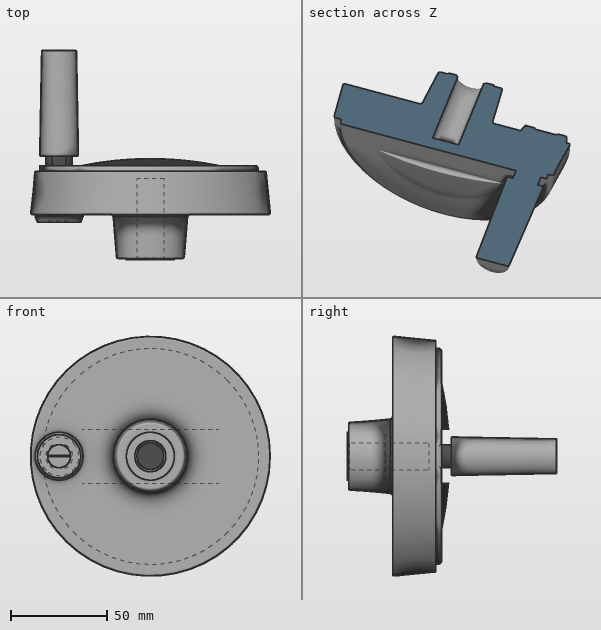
import cadquery as cq
import math

wheel_radius = 62.5
wheel_back_radius = 60.2
wheel_thickness = 22.6
wheel_front_round = 1.1
wheel_back_round = 0.9

step_radius = 56.2
step_height = 3.0
step_round = 2.1
step_face = wheel_thickness + step_height

dome_radius = 38.0
dome_height = 4.1
channel_width = 27.9

hub_length = 22.8
hub_base_radius = 19.5
hub_end_radius = 17.6
hub_base_fillet = 1.1
hub_end_round = 1.1
collar_radius = 12.5
collar_height = 0.7
bore_radius = 7.0
bore_mouth_radius = 8.1
bore_end_wall = 3.7
bore_chamfer = bore_mouth_radius - bore_radius

handle_x = -47.5
handle_start = 30.4
handle_length = 55.0
handle_base_radius = 10.1
handle_end_radius = 9.1
handle_base_round = 1.0
handle_end_round = 0.7
neck_diameter = 14.0
neck_flats = 12.0
neck_foot_height = 1.0
neck_foot_inset = 0.1
pad_radius = 10.0

cap_height = 4.0
cap_rim_height = 0.9
cap_radius = 12.5
cap_end_radius = 11.2
screw_diameter = 12.0
screw_slot_width = 0.7
screw_slot_depth = 0.7
screw_recess = 0.1


def cone(start, length, start_radius, end_radius, x=0.0):
    """Solid of revolution along Y; a negative length runs toward -Y."""
    profile = [
        (x, start),
        (x + start_radius, start),
        (x + end_radius, start + length),
        (x, start + length),
    ]
    return cq.Workplane("XY").polyline(profile).close().revolve(360, (x, 0), (x, 1))


def cylinder(start, length, radius, x=0.0):
    return cone(start, length, radius, radius, x)


def make_wheel():
    disc = cone(0, wheel_thickness, wheel_radius, wheel_back_radius)
    disc = disc.faces("<Y").edges().fillet(wheel_front_round)
    disc = disc.faces(">Y").edges().fillet(wheel_back_round)
    step = cylinder(wheel_thickness, step_height, step_radius)
    step = step.faces(">Y").edges().fillet(step_round)
    return disc.union(step)


def make_dome():
    """Spherical cap minus the channel that separates its two halves."""
    sphere_radius = (dome_radius**2 + dome_height**2) / (2 * dome_height)
    half_angle = math.asin(dome_radius / sphere_radius) / 2
    arc_middle = (
        sphere_radius * math.sin(half_angle),
        step_face + dome_height - sphere_radius * (1 - math.cos(half_angle)),
    )
    dome = (
        cq.Workplane("XY")
        .moveTo(0, step_face)
        .lineTo(dome_radius, step_face)
        .threePointArc(arc_middle, (0, step_face + dome_height))
        .close()
        .revolve(360, (0, 0), (0, 1))
    )
    channel = cq.Workplane("XY").box(2 * dome_radius, dome_height, channel_width)
    return dome.cut(channel.translate((0, step_face + dome_height / 2, 0)))


def make_hub():
    hub = cone(0, -hub_length, hub_base_radius, hub_end_radius)
    hub = hub.faces("<Y").edges().fillet(hub_end_round)
    root = (
        cq.Workplane("XY")
        .lineTo(hub_base_radius + hub_base_fillet, 0)
        .radiusArc((hub_base_radius, -hub_base_fillet), -hub_base_fillet)
        .lineTo(0, -hub_base_fillet)
        .close()
        .revolve(360, (0, 0), (0, 1))
    )
    return hub.union(root).union(cylinder(-hub_length, -collar_height, collar_radius))


def make_bore():
    """Blind bore with a chamfered mouth, stopping inside the wheel."""
    mouth = -hub_length - collar_height
    bore = cylinder(mouth, wheel_thickness - bore_end_wall - mouth, bore_radius)
    return bore.union(cone(mouth, bore_chamfer, bore_mouth_radius, bore_radius))


def make_handle():
    grip = cone(handle_start, handle_length, handle_base_radius, handle_end_radius, handle_x)
    grip = grip.faces("<Y").edges().fillet(handle_base_round)
    grip = grip.faces(">Y").edges().fillet(handle_end_round)
    pad = cylinder(wheel_thickness, step_height, pad_radius, handle_x)
    neck_radius = neck_diameter / 2
    neck_length = handle_start - step_face
    foot = cone(step_face, neck_foot_height, neck_radius - neck_foot_inset, neck_radius, handle_x)
    shank = cylinder(step_face + neck_foot_height, neck_length - neck_foot_height, neck_radius, handle_x)
    flats = cq.Workplane("XY").box(neck_diameter, neck_length, neck_flats)
    flats = flats.translate((handle_x, step_face + neck_length / 2, 0))
    neck = foot.union(shank).intersect(flats)
    return pad.union(neck).union(grip)


def make_cap():
    rim = cylinder(0, -cap_rim_height, cap_radius, handle_x)
    taper_height = cap_height - cap_rim_height
    taper = cone(-cap_rim_height, -taper_height, cap_radius, cap_end_radius, handle_x)
    slot = cq.Workplane("XY").box(screw_diameter, screw_slot_depth, screw_slot_width)
    slot = slot.translate((handle_x, -cap_height + screw_slot_depth / 2, 0))
    recess = cylinder(-cap_height, screw_recess, screw_diameter / 2, handle_x)
    return rim.union(taper).cut(slot).cut(recess)


result = make_wheel()
for feature in (make_dome(), make_hub(), make_handle(), make_cap()):
    result = result.union(feature)
result = result.cut(make_bore())